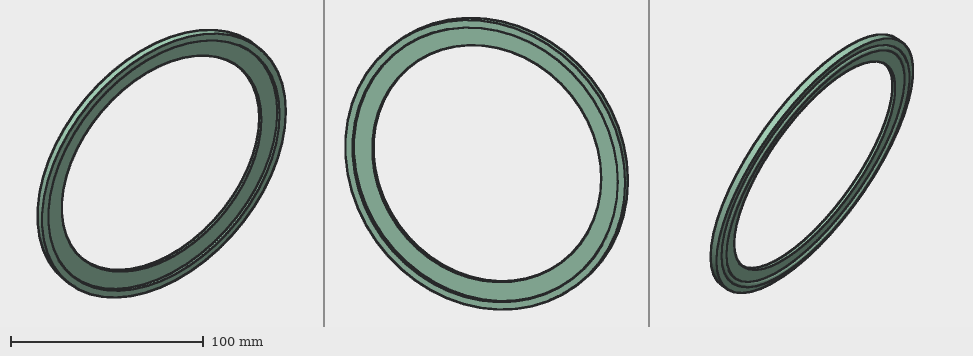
import cadquery as cq

outer_radius = 78.5
bore_radius = 64.2
total_thickness = 5.8
web_thickness = 2.0

bead_outer_radius = 74.4
bead_width = 2.8
bead_height = 1.7

bead_inner_radius = bead_outer_radius - bead_width
bead_crown_radius = bead_width / 2
bead_middle_radius = bead_inner_radius + bead_crown_radius
bead_wall_height = bead_height - bead_crown_radius

rim_inner_radius = bead_outer_radius

front_face_x = bead_height
bead_shoulder_x = front_face_x - bead_wall_height
web_back_x = front_face_x + web_thickness
rim_back_x = total_thickness

section = (
    cq.Workplane("XY")
    .moveTo(front_face_x, bore_radius)
    .lineTo(front_face_x, bead_inner_radius)
    .lineTo(bead_shoulder_x, bead_inner_radius)
    .threePointArc((0, bead_middle_radius), (bead_shoulder_x, bead_outer_radius))
    .lineTo(front_face_x, bead_outer_radius)
    .lineTo(front_face_x, outer_radius)
    .lineTo(rim_back_x, outer_radius)
    .lineTo(rim_back_x, rim_inner_radius)
    .lineTo(web_back_x, rim_inner_radius)
    .lineTo(web_back_x, bore_radius)
    .close()
)

result = section.revolve(360, (0, 0, 0), (1, 0, 0))